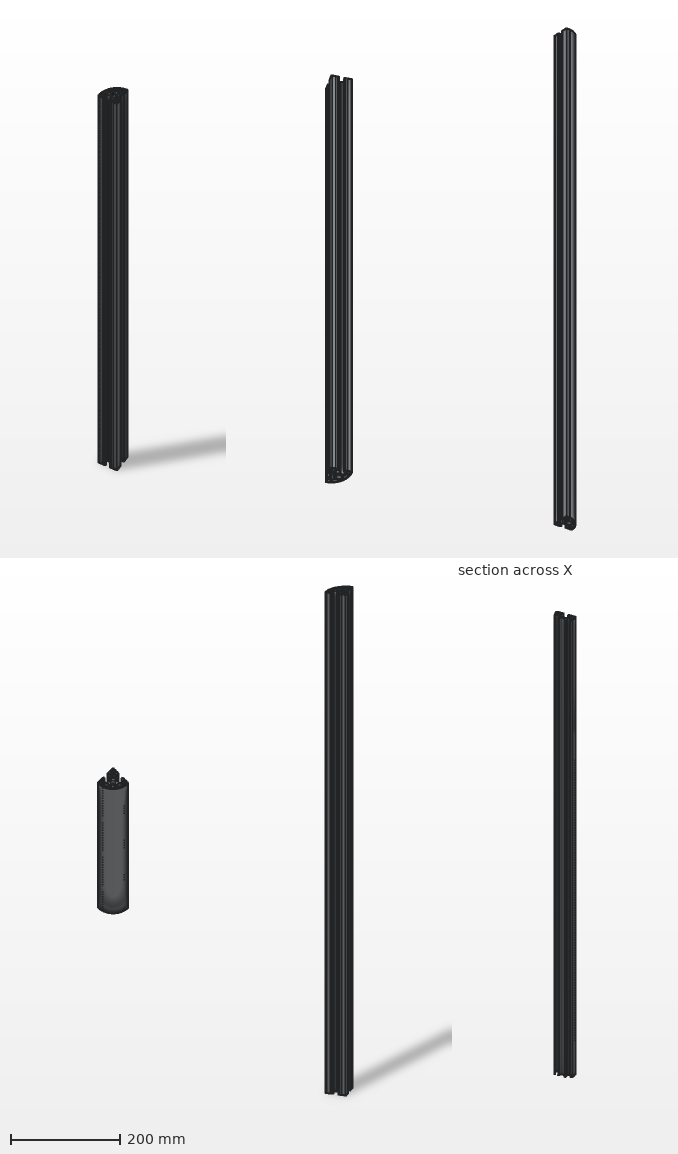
import cadquery as cq
import math

SIDE = 40.0
LENGTH = 1000.0
HALF = SIDE / 2
DIAGONAL = math.sqrt(0.5)

CORNER_RADIUS = 2.0
CORNER_CENTER = HALF - CORNER_RADIUS
BLEND_DISTANCE = math.hypot(SIDE - CORNER_RADIUS, CORNER_RADIUS)
ARC_RADIUS = BLEND_DISTANCE + CORNER_RADIUS

WALL = 2.1
MOUTH_HALF = 4.89
RECESS_HALF = 7.44
RECESS_DEPTH = 0.3
LIP_DEPTH = 4.04
SLOT_HALF = 9.81
FLOOR_HALF = 8.0
SLOT_DEPTH = 11.63
TAPER_DEPTH = 8.35
GROOVE_HALF = 1.43
GROOVE_DEPTH = 0.68

BORE_RADIUS = 5.39
CORE_HALF = BORE_RADIUS + WALL
CHAMBER_NEAR = 11.25
CHAMBER_FAR = HALF - WALL
SIDE_CHAMBER_END = 9.4
SIDE_CHAMBER_CHAMFER = 4.0
END_CHAMBER_START = 11.81
RIB_HALF = 1.42


def prism(points):
    """Full-length prism over a closed polygon."""
    return cq.Workplane("XY").polyline(points).close().extrude(LENGTH)


def across_diagonal(solid):
    """Mirror a solid in the symmetry plane of the profile, swapping (x, y) for (-y, -x)."""
    return solid.mirror("YZ").rotate((0, 0, 0), (0, 0, 1), 90)


def outer_body():
    """Quarter-round bar with all three corners rounded."""
    corner_mid = CORNER_CENTER + CORNER_RADIUS * DIAGONAL
    arc_mid = HALF - ARC_RADIUS * DIAGONAL

    blend_scale = ARC_RADIUS / BLEND_DISTANCE
    blend_x = HALF - (SIDE - CORNER_RADIUS) * blend_scale
    blend_y = -HALF + CORNER_RADIUS * blend_scale

    return (
        cq.Workplane("XY")
        .moveTo(-CORNER_CENTER, -HALF)
        .lineTo(CORNER_CENTER, -HALF)
        .threePointArc((corner_mid, -corner_mid), (HALF, -CORNER_CENTER))
        .lineTo(HALF, CORNER_CENTER)
        .threePointArc((corner_mid, corner_mid), (-blend_y, -blend_x))
        .threePointArc((arc_mid, -arc_mid), (blend_x, blend_y))
        .threePointArc((-corner_mid, -corner_mid), (-CORNER_CENTER, -HALF))
        .close()
        .extrude(LENGTH)
    )


def slot():
    """T-slot in the -Y face, with a recessed mouth and a shallow groove along its floor."""
    floor_y = -HALF + SLOT_DEPTH
    right_side = [
        (RECESS_HALF, -HALF),
        (RECESS_HALF, -HALF + RECESS_DEPTH),
        (MOUTH_HALF, -HALF + RECESS_DEPTH),
        (MOUTH_HALF, -HALF + LIP_DEPTH),
        (SLOT_HALF, -HALF + LIP_DEPTH),
        (SLOT_HALF, -HALF + TAPER_DEPTH),
        (FLOOR_HALF, floor_y),
        (GROOVE_HALF, floor_y),
        (GROOVE_HALF, floor_y + GROOVE_DEPTH),
    ]
    left_side = [(-x, y) for x, y in reversed(right_side)]
    return prism(right_side + left_side)


def inside_round_wall(solid):
    """Keep the portion of a solid that lies within the wall of the quarter-round face."""
    inner = cq.Workplane("XY").center(HALF, -HALF).circle(ARC_RADIUS - WALL).extrude(LENGTH)
    return solid.intersect(inner)


def side_chamber():
    """Chamber between the core and the round wall, up to the diagonal rib."""
    rib_offset = RIB_HALF / DIAGONAL
    chamber = prism(
        [
            (-HALF, -SIDE_CHAMBER_END),
            (-CORE_HALF - SIDE_CHAMBER_CHAMFER, -SIDE_CHAMBER_END),
            (-CORE_HALF, -SIDE_CHAMBER_END + SIDE_CHAMBER_CHAMFER),
            (-CORE_HALF, CORE_HALF - rib_offset),
            (-HALF, HALF - rib_offset),
        ]
    )
    return inside_round_wall(chamber)


def end_chamber():
    """Chamber beside the slot, in the narrow end of the profile."""
    chamber = prism(
        [
            (-HALF, -END_CHAMBER_START),
            (-CHAMBER_NEAR, -END_CHAMBER_START),
            (-CHAMBER_NEAR, -CHAMBER_FAR),
            (-HALF, -CHAMBER_FAR),
        ]
    )
    return inside_round_wall(chamber)


def corner_chamber():
    """Square chamber in the corner between the two slots."""
    return prism(
        [
            (CHAMBER_NEAR, -CHAMBER_NEAR),
            (CHAMBER_FAR, -CHAMBER_NEAR),
            (CHAMBER_FAR, -CHAMBER_FAR),
            (CHAMBER_NEAR, -CHAMBER_FAR),
        ]
    )


def core_bore():
    """Round bore along the Z axis."""
    return cq.Workplane("XY").circle(BORE_RADIUS).extrude(LENGTH)


result = outer_body()
for cutter in (slot(), side_chamber(), end_chamber()):
    result = result.cut(cutter).cut(across_diagonal(cutter))
result = result.cut(corner_chamber()).cut(core_bore())